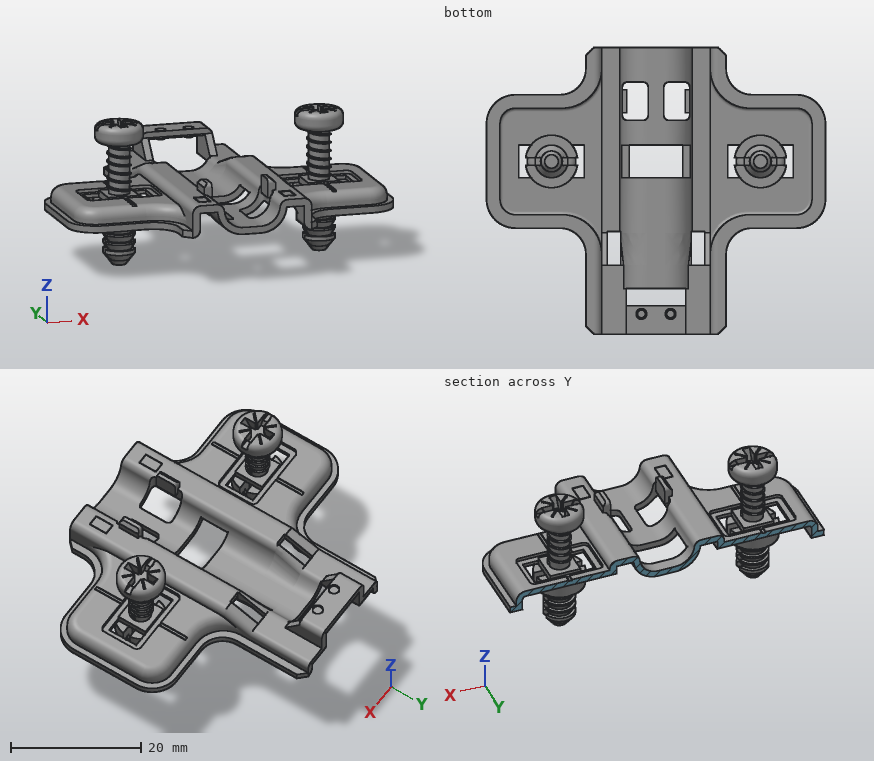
import cadquery as cq
import math

SHEET = 1.1
HALF_X = 26.0
HALF_Y = 22.0
BODY_HALF = 10.75
WING_Y = -4.5
WING_HALF_Y = 10.25
WING_CORNER = 4.45
WING_FLARE = 3.95
END_CHAMFER = 1.25

RIM = 1.0
WING_TOP = 3.5
WING_FILLET = 1.6
RECESS_X, RECESS_Y = 12.0, 7.0
RECESS_CORNER = 0.85
RECESS_DEPTH = 0.5
WINDOW_X, WINDOW_Y = 10.05, 5.0
MARK_WIDTH = 0.5
MARK_LENGTH = 16.85
MARK_DEPTH = 0.15

LEG_HALF = 9.5
LEG_INNER = LEG_HALF - 1.2
FLOOR_HALF = 1.4
CHANNEL_R = 3.05
ROLL_R = 1.25
FRONT_TOP = 5.0
REAR_TOP = 3.1
FRONT_SHEET = 1.2
FRONT_LEG_ROLL = 1.25
REAR_LEG_ROLL = 1.0
RAMP_FRONT, RAMP_REAR = 6.45, 11.4
RAMP_SLOT_FRONT = 6.25
RAMP_SLOT_INNER, RAMP_SLOT_OUTER = 5.4, 7.45

MID_HOLE_HALF_X = 5.7
MID_HOLE_Y = 5.0
MID_HOLE_TOP = 2.65
TAB_HOLE_INNER, TAB_HOLE_OUTER = 1.22, 5.15
TAB_HOLE_LENGTH = 5.8
TAB_HOLE_CORNER = 0.75
TAB_Y = -13.75

TAB_INNER, TAB_OUTER = 4.45, 5.7
TAB_LENGTH = 3.55
TAB_BOTTOM, TAB_TOP = 3.8, 6.7
TAB_ROUND = 0.6
TAB_BEVEL = 0.55
PAD_INNER, PAD_OUTER = 5.95, 7.7
PAD_LENGTH = 3.0
PAD_Y = -18.05
PAD_DEPTH = 0.1

BRIDGE_OUTER = 5.7
BRIDGE_INNER = 4.5
BRIDGE_TOP = 6.9
BRIDGE_FRONT = 17.8
BRIDGE_SLOPE_TOP = 6.05
BRIDGE_FOOT = 15.2
FLOOR_END = 15.0
DIMPLE_DIA = 1.6
DIMPLE_TIP_DIA = 1.2
DIMPLE_X, DIMPLE_Y = 2.25, 18.9
DIMPLE_DEPTH = 0.35

SCREW_X = 16.0
HEAD_DIA = 7.5
HEAD_BOTTOM, HEAD_TOP = 11.5, 14.5
HEAD_ROUND = 1.05
SHANK_DIA = 3.2
SCREW_END = -6.85
THREAD_PITCH = 1.3
THREAD_HEIGHT = 0.25
THREAD_WIDTH = 0.4
THREAD_START, THREAD_END = 3.9, 11.25
DRIVER_SLOT_WIDTH, DRIVER_SLOT_DEPTH = 1.0, 0.9
SOCKET_DEPTH = 1.75
CROSS_WIDTH, CROSS_TOP, CROSS_BOTTOM = 1.15, 2.7, 1.75
RAY_WIDTH, RAY_TOP, RAY_BOTTOM = 0.25, 2.9, 1.25
SOCKET_CORE_DIA = 2.1

COLLAR_DIA = 8.05
BARB_DIA, BARB_ROOT_DIA = 5.0, 3.85
BARB_PITCH, BARB_COUNT = 1.3, 4
BARB_LAND = 0.3
NOSE_LAND = 0.6
DOWEL_END = -7.7
DOWEL_END_DIA = 2.1
DOWEL_SLOT = 1.2

FAR = 31.2


def block(x0, x1, y0, y1, z0, z1):
    return cq.Workplane("XY").box(x1 - x0, y1 - y0, z1 - z0, centered=False).translate((x0, y0, z0))


def both_sides(shape):
    """The shape together with its mirror image across the YZ plane."""
    return shape.union(shape.mirror("YZ"))


def cross_prism(half_x, half_y, body_half, corner, flare, height):
    """Cross-shaped prism: a central body with two wings, rounded tips and flared roots."""
    body = block(-body_half, body_half, -HALF_Y, HALF_Y, 0, height)
    wings = block(-half_x, half_x, WING_Y - half_y, WING_Y + half_y, 0, height)
    wings = wings.edges("|Z").fillet(corner)
    prism = body.union(wings)
    for side in (-1, 1):
        for end in (-1, 1):
            root_x, root_y = side * body_half, WING_Y + end * half_y
            bend = flare * math.sqrt(0.5)
            centre_x, centre_y = root_x + side * flare, root_y + end * flare
            web = (
                cq.Workplane("XY").moveTo(root_x, root_y).lineTo(centre_x, root_y)
                .threePointArc((centre_x - side * bend, centre_y - end * bend), (root_x, centre_y))
                .close().extrude(height)
            )
            prism = prism.union(web)
    return prism.clean()


def wing_shell():
    """Flat flange with raised, hollow wings; the central strip is left to the rail."""
    flange = cross_prism(HALF_X, WING_HALF_Y, BODY_HALF, WING_CORNER, WING_FLARE, SHEET)
    flange = flange.faces(">Y or <Y").edges("|Z").chamfer(END_CHAMFER)
    raised = cross_prism(
        HALF_X - RIM, WING_HALF_Y - RIM, LEG_HALF, WING_CORNER - RIM, WING_FLARE + RIM, WING_TOP
    )
    raised = raised.faces(">Z").edges().fillet(WING_FILLET)
    rail_strip = block(-LEG_HALF, LEG_HALF, -FAR, FAR, -FAR, FAR)
    return flange.union(raised).cut(rail_strip)


def wing_hollow():
    inset = RIM + SHEET
    hollow = cross_prism(
        HALF_X - inset, WING_HALF_Y - inset, LEG_INNER, WING_CORNER - inset,
        WING_FLARE + inset, WING_TOP - SHEET,
    )
    hollow = hollow.faces(">Z").edges().fillet(WING_FILLET - SHEET)
    return hollow.cut(block(-LEG_INNER, LEG_INNER, -FAR, FAR, -FAR, FAR))


def rail_section(y, top, sheet, leg_roll):
    """Closed half section of the rail (negative X) in the plane at the given Y."""
    axis_x, axis_z = -FLOOR_HALF, SHEET + CHANNEL_R
    outer_r = CHANNEL_R + SHEET
    under = top - sheet
    roll_z = top - ROLL_R
    roll_x = axis_x - math.sqrt((CHANNEL_R + ROLL_R) ** 2 - (roll_z - axis_z) ** 2)
    share = CHANNEL_R / (CHANNEL_R + ROLL_R)
    touch_x = axis_x + (roll_x - axis_x) * share
    touch_z = axis_z + (roll_z - axis_z) * share
    roll_angle = (math.pi / 2 + math.atan2(touch_z - roll_z, touch_x - roll_x)) / 2
    roll_mid = (roll_x + ROLL_R * math.cos(roll_angle), roll_z + ROLL_R * math.sin(roll_angle))
    channel_angle = (math.atan2(axis_z - touch_z, axis_x - touch_x) + math.pi / 2) / 2
    channel_mid = (
        axis_x - CHANNEL_R * math.cos(channel_angle),
        axis_z - CHANNEL_R * math.sin(channel_angle),
    )
    under_x = axis_x - math.sqrt(outer_r ** 2 - (axis_z - under) ** 2)
    under_angle = (math.atan2(axis_z - under, axis_x - under_x) + math.pi / 2) / 2
    under_mid = (axis_x - outer_r * math.cos(under_angle), axis_z - outer_r * math.sin(under_angle))
    bend = math.sqrt(0.5)
    foot_r = LEG_HALF - LEG_INNER
    return (
        cq.Workplane("XZ", origin=(0, y, 0)).moveTo(0, 0).lineTo(0, SHEET).lineTo(axis_x, SHEET)
        .threePointArc(channel_mid, (touch_x, touch_z))
        .threePointArc(roll_mid, (roll_x, top))
        .lineTo(-LEG_HALF + leg_roll, top)
        .threePointArc(
            (-LEG_HALF + leg_roll * (1 - bend), top - leg_roll * (1 - bend)),
            (-LEG_HALF, top - leg_roll),
        )
        .lineTo(-LEG_HALF, 0)
        .threePointArc((-LEG_HALF + foot_r * bend, foot_r * (1 - bend)), (-LEG_INNER, foot_r))
        .lineTo(-LEG_INNER, under).lineTo(under_x, under)
        .threePointArc(under_mid, (axis_x, 0)).close()
    )


def front_section(y):
    return rail_section(y, FRONT_TOP, FRONT_SHEET, FRONT_LEG_ROLL)


def rear_section(y):
    return rail_section(y, REAR_TOP, SHEET, REAR_LEG_ROLL)


def rail():
    front = front_section(RAMP_FRONT).extrude(RAMP_FRONT + HALF_Y)
    rear = rear_section(HALF_Y).extrude(HALF_Y - RAMP_REAR)
    ramp_ends = [front_section(RAMP_FRONT).val(), rear_section(RAMP_REAR).val()]
    ramp = cq.Workplane(obj=cq.Solid.makeLoft(ramp_ends, True))
    slot = block(-RAMP_SLOT_OUTER, -RAMP_SLOT_INNER, RAMP_SLOT_FRONT, RAMP_REAR, SHEET, FAR)
    return both_sides(front.union(ramp).union(rear).cut(slot))


def floor_openings():
    middle = block(
        -MID_HOLE_HALF_X, MID_HOLE_HALF_X, WING_Y - MID_HOLE_Y / 2, WING_Y + MID_HOLE_Y / 2,
        -FAR, MID_HOLE_TOP,
    )
    tab_hole = block(
        -TAB_HOLE_OUTER, -TAB_HOLE_INNER, TAB_Y - TAB_HOLE_LENGTH / 2, TAB_Y + TAB_HOLE_LENGTH / 2,
        -FAR, FAR,
    ).edges("|Z").fillet(TAB_HOLE_CORNER)
    rear = block(-BRIDGE_INNER, BRIDGE_INNER, FLOOR_END, FAR, -FAR, BRIDGE_TOP - SHEET)
    under_rear = block(-BRIDGE_OUTER, BRIDGE_OUTER, FLOOR_END, FAR, -FAR, REAR_TOP - SHEET)
    return both_sides(tab_hole).union(middle).union(rear).union(under_rear)


def stop_tabs():
    slope_z = TAB_TOP - TAB_BEVEL
    across = [
        (-TAB_OUTER, TAB_BOTTOM), (-TAB_OUTER, slope_z), (-TAB_OUTER + TAB_BEVEL, TAB_TOP),
        (-TAB_INNER, TAB_TOP), (-TAB_INNER, TAB_BOTTOM),
    ]
    bevelled = cq.Workplane("XZ").polyline(across).close().extrude(FAR, both=True)
    tab = block(
        -TAB_OUTER, -TAB_INNER, TAB_Y - TAB_LENGTH / 2, TAB_Y + TAB_LENGTH / 2, TAB_BOTTOM, TAB_TOP
    )
    tab = tab.faces(">Z").edges("|X").fillet(TAB_ROUND).intersect(bevelled)
    return both_sides(tab)


def bridge():
    side_profile = [
        (HALF_Y, REAR_TOP - SHEET), (HALF_Y, BRIDGE_TOP), (BRIDGE_FRONT, BRIDGE_TOP),
        (BRIDGE_FRONT, BRIDGE_SLOPE_TOP), (BRIDGE_FOOT, REAR_TOP), (BRIDGE_FOOT, REAR_TOP - SHEET),
    ]
    body = cq.Workplane("YZ").polyline(side_profile).close().extrude(BRIDGE_OUTER, both=True)
    return body.faces(">Z").edges("|Y").fillet(SHEET)


def at_dimples(shape):
    return both_sides(shape.translate((-DIMPLE_X, DIMPLE_Y, 0)))


def dimple_pits():
    pit = cq.Workplane("XY").circle(DIMPLE_DIA / 2).extrude(DIMPLE_DEPTH)
    return at_dimples(pit.translate((0, 0, BRIDGE_TOP - DIMPLE_DEPTH)))


def dimple_buttons():
    button = (
        cq.Workplane("XY").circle(DIMPLE_TIP_DIA / 2).workplane(offset=DIMPLE_DEPTH)
        .circle(DIMPLE_DIA / 2).loft()
    )
    return at_dimples(button.translate((0, 0, BRIDGE_TOP - SHEET - DIMPLE_DEPTH)))


def shoulder_pads():
    """Shallow rectangular marks sunk into the front of both shoulders."""
    return both_sides(block(
        -PAD_OUTER, -PAD_INNER, PAD_Y - PAD_LENGTH / 2, PAD_Y + PAD_LENGTH / 2,
        FRONT_TOP - PAD_DEPTH, FAR,
    ))


def wing_cuts():
    """Recess, window and centre mark of both wings."""
    recess = cq.Workplane("XY").rect(RECESS_X, RECESS_Y).extrude(RECESS_DEPTH)
    recess = recess.edges("|Z").fillet(RECESS_CORNER).translate((0, 0, WING_TOP - RECESS_DEPTH))
    window = cq.Workplane("XY").rect(WINDOW_X, WINDOW_Y).extrude(WING_TOP)
    mark = cq.Workplane("XY").rect(MARK_WIDTH, MARK_LENGTH).extrude(MARK_DEPTH)
    mark = mark.translate((0, 0, WING_TOP - MARK_DEPTH))
    return both_sides(recess.union(window).union(mark).translate((-SCREW_X, WING_Y, 0)))


def make_plate():
    plate = wing_shell().union(rail()).cut(wing_hollow())
    plate = plate.union(bridge()).cut(floor_openings()).union(stop_tabs())
    plate = plate.cut(dimple_pits()).union(dimple_buttons())
    return plate.cut(shoulder_pads()).cut(wing_cuts())


def shank():
    """Plain screw core up to the head."""
    core = cq.Workplane("XY").circle(SHANK_DIA / 2).extrude(HEAD_BOTTOM - SCREW_END)
    return core.translate((0, 0, SCREW_END))


def thread():
    """Left-hand helical ridge, its base sunk slightly into the shank."""
    base_r = SHANK_DIA / 2 - 0.05
    path = cq.Wire.makeHelix(THREAD_PITCH, THREAD_END - THREAD_START, base_r, lefthand=True)
    ridge = (
        cq.Workplane("XZ").moveTo(base_r, -THREAD_WIDTH / 2)
        .lineTo(SHANK_DIA / 2 + THREAD_HEIGHT, 0).lineTo(base_r, THREAD_WIDTH / 2).close()
        .sweep(cq.Workplane(obj=path), isFrenet=True)
    )
    return ridge.translate((0, 0, THREAD_START))


def socket_blade(width, top_reach, bottom_reach):
    """Blade along X, tapering downwards from the head top to the socket floor."""
    floor = HEAD_TOP - SOCKET_DEPTH
    outline = [(-top_reach, HEAD_TOP), (top_reach, HEAD_TOP), (bottom_reach, floor), (-bottom_reach, floor)]
    return cq.Workplane("XZ").polyline(outline).close().extrude(width / 2, both=True)


def make_screw():
    head = cq.Workplane("XY").circle(HEAD_DIA / 2).extrude(HEAD_TOP - HEAD_BOTTOM)
    head = head.edges().fillet(HEAD_ROUND).translate((0, 0, HEAD_BOTTOM))
    screw = shank().union(head).union(thread())
    slot = block(-FAR, FAR, -DRIVER_SLOT_WIDTH / 2, DRIVER_SLOT_WIDTH / 2, HEAD_TOP - DRIVER_SLOT_DEPTH, FAR)
    core = cq.Workplane("XY").circle(SOCKET_CORE_DIA / 2).extrude(SOCKET_DEPTH)
    screw = screw.cut(slot).cut(core.translate((0, 0, HEAD_TOP - SOCKET_DEPTH)))
    for angle in (0, 90):
        cross = socket_blade(CROSS_WIDTH, CROSS_TOP, CROSS_BOTTOM)
        ray = socket_blade(RAY_WIDTH, RAY_TOP, RAY_BOTTOM)
        screw = screw.cut(cross.rotate((0, 0, 0), (0, 0, 1), angle))
        screw = screw.cut(ray.rotate((0, 0, 0), (0, 0, 1), angle + 45))
    return screw


def make_dowel():
    """Split, barbed dowel: square head in the wing window over a round collar below the sheet."""
    collar_top = WING_TOP - SHEET
    profile = cq.Workplane("XZ").moveTo(0, collar_top).lineTo(COLLAR_DIA / 2, collar_top)
    profile = profile.lineTo(COLLAR_DIA / 2, 0)
    for barb in range(BARB_COUNT):
        ledge = -barb * BARB_PITCH
        profile = profile.lineTo(BARB_DIA / 2, ledge).lineTo(BARB_DIA / 2, ledge - BARB_LAND)
        profile = profile.lineTo(BARB_ROOT_DIA / 2, ledge - BARB_PITCH)
    nose = -BARB_COUNT * BARB_PITCH
    profile = profile.lineTo(BARB_DIA / 2, nose).lineTo(BARB_DIA / 2, nose - NOSE_LAND)
    profile = profile.lineTo(DOWEL_END_DIA / 2, DOWEL_END).lineTo(0, DOWEL_END).close()
    body = profile.revolve(360, (0, 0, 0), (0, 1, 0))
    head = cq.Workplane("XY").rect(WINDOW_Y, WINDOW_Y).extrude(SHEET).translate((0, 0, collar_top))
    split = block(-FAR, FAR, -DOWEL_SLOT / 2, DOWEL_SLOT / 2, SCREW_END, collar_top)
    return body.cut(split).union(head).cut(shank())


plate = make_plate()
screws = [make_screw().translate((side * SCREW_X, WING_Y, 0)) for side in (-1, 1)]
dowels = [make_dowel().translate((side * SCREW_X, WING_Y, 0)) for side in (-1, 1)]

result = cq.Compound.makeCompound(
    [plate.val(), *[screw.val() for screw in screws], *[dowel.val() for dowel in dowels]]
)